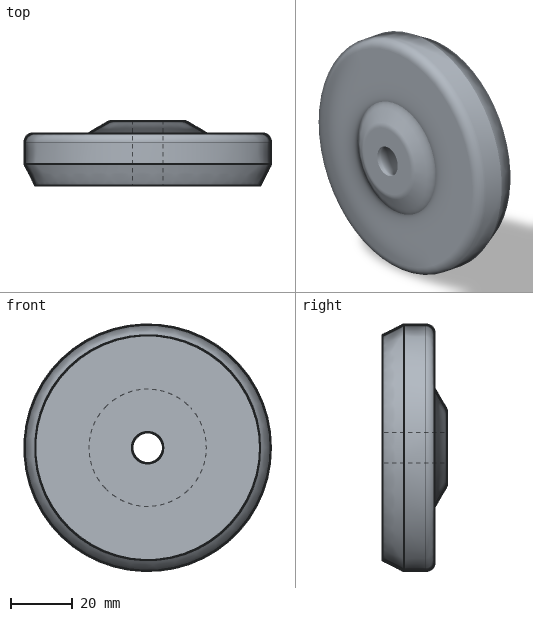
import cadquery as cq

outer_radius = 40.0
front_radius = 36.5
taper_depth = 7.0
disc_depth = 17.0
back_round = 3.0

total_depth = 21.0
boss_base_radius = 19.0
boss_top_radius = 12.2
boss_round = 3.0

bore_diameter = 10.0

half_section = (
    cq.Workplane("XY")
    .lineTo(front_radius, 0)
    .lineTo(outer_radius, taper_depth)
    .lineTo(outer_radius, disc_depth - back_round)
    .radiusArc((outer_radius - back_round, disc_depth), -back_round)
    .lineTo(boss_base_radius, disc_depth)
    .lineTo(boss_top_radius, total_depth)
    .lineTo(0, total_depth)
    .close()
)
body = half_section.revolve(360, (0, 0, 0), (0, 1, 0))

body = body.faces(">Y").edges().fillet(boss_round)

bore = cq.Workplane("XZ").circle(bore_diameter / 2).extrude(-total_depth)
result = body.cut(bore)